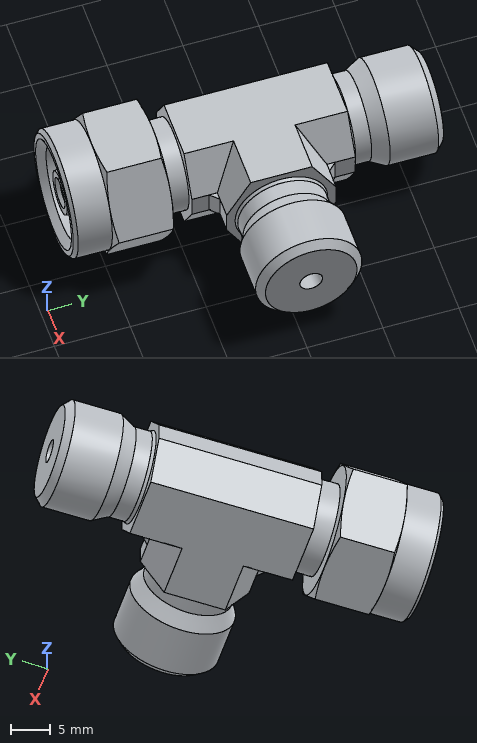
import cadquery as cq
import math


body_height = 14.05
body_width = 14.42
body_reach = 10.95
body_foot = 10.55
web_leg = 1.1
web_overlap = 0.5

arm_reach = 22.95
arm_diameter = 14.05
arm_tip_chamfer = 1.0
thread_length = 7.35
relief_taper_length = 2.07
neck_diameter = 11.8
neck_flare = 0.2
neck_flare_length = 0.45

overall_length = 49.4
spigot_diameter = 12.1
nut_across_flats = 17.0
nut_back_gap = 2.8
nut_hex_length = 8.05
nut_corner_drop = 0.45
collar_diameter = 16.9
collar_chamfer = 0.5
socket_diameter = 12.35
socket_mouth_diameter = 14.42

cone_recess = 0.85
cone_tip_diameter = 5.75
cone_base_diameter = 8.5
cone_half_angle = 12.0
ring_section_radius = 0.55
ring_centre_radius = 3.25
ring_setback = 2.45

bore_diameter = 2.95
bore_mouth_diameter = 4.0

nut_front_y = arm_reach - overall_length
nut_back_y = -body_foot - nut_back_gap
nut_hex_front_y = nut_back_y - nut_hex_length
cone_tip_y = nut_front_y + cone_recess
cone_length = (cone_base_diameter - cone_tip_diameter) / 2 / math.tan(math.radians(cone_half_angle))
socket_floor_y = cone_tip_y + cone_length


def turned(profile):
    """Revolve a closed (radius, y) outline about the Y axis."""
    return cq.Workplane("XY").polyline(profile).close().revolve(360, (0, 0, 0), (0, 1, 0))


def to_branch(shape):
    """Swing a shape from the +Y direction to the +X direction."""
    return shape.rotate((0, 0, 0), (0, 0, 1), -90)


def cylinder(diameter, start_y, end_y):
    radius = diameter / 2
    return turned([(0, start_y), (radius, start_y), (radius, end_y), (0, end_y)])


def hexagon_bar(across_flats, start_y, end_y):
    """Hexagonal bar along Y with flats at the top and bottom."""
    corner_diameter = across_flats / math.cos(math.radians(30))
    bar = cq.Workplane("XZ").polygon(6, corner_diameter).extrude(end_y - start_y)
    return bar.translate((0, end_y, 0))


def body_bar(start_y, end_y):
    """Hexagonal bar with its side corners cut back to flats."""
    trim = cq.Workplane("XY").box(body_width, 4 * body_reach, 2 * body_height)
    return hexagon_bar(body_height, start_y, end_y).intersect(trim)


def corner_webs():
    """Triangular webs, as tall as the side flats, in both corners beside the branch."""
    corner = body_width / 2
    corner_radius = body_height / 2 / math.cos(math.radians(30))
    flat_height = 2 * (corner_radius - corner) * math.tan(math.radians(60))
    inner = corner - web_overlap
    outer = corner + web_leg
    outline = [(inner, inner), (outer, inner), (outer, corner), (corner, outer), (inner, outer)]
    web = cq.Workplane("XY").polyline(outline).close().extrude(flat_height / 2, both=True)
    return web.union(web.mirror("XZ"))


def threaded_arm():
    radius = arm_diameter / 2
    neck = neck_diameter / 2
    thread_end = arm_reach - thread_length
    return turned([
        (0, 0),
        (neck + neck_flare, 0),
        (neck + neck_flare, body_reach),
        (neck, body_reach + neck_flare_length),
        (neck, thread_end - relief_taper_length),
        (radius, thread_end),
        (radius, arm_reach - arm_tip_chamfer),
        (radius - arm_tip_chamfer, arm_reach),
        (0, arm_reach),
    ])


def nut():
    collar = collar_diameter / 2
    corner = nut_across_flats / 2 / math.cos(math.radians(30))
    envelope = turned([
        (0, nut_back_y),
        (collar, nut_back_y),
        (corner, nut_back_y - nut_corner_drop),
        (corner, nut_hex_front_y + nut_corner_drop),
        (collar, nut_hex_front_y),
        (0, nut_hex_front_y),
    ])
    hexagon = hexagon_bar(nut_across_flats, nut_hex_front_y, nut_back_y).intersect(envelope)
    front_collar = turned([
        (0, nut_hex_front_y),
        (collar, nut_hex_front_y),
        (collar, nut_front_y + collar_chamfer),
        (collar - collar_chamfer, nut_front_y),
        (0, nut_front_y),
    ])
    socket = socket_diameter / 2
    mouth = socket_mouth_diameter / 2
    cavity = turned([
        (0, nut_front_y),
        (mouth, nut_front_y),
        (socket, nut_front_y + mouth - socket),
        (socket, socket_floor_y),
        (0, socket_floor_y),
    ])
    return hexagon.union(front_collar).cut(cavity)


def sealing_cone():
    cone = turned([
        (0, cone_tip_y),
        (cone_tip_diameter / 2, cone_tip_y),
        (cone_base_diameter / 2, socket_floor_y),
        (0, socket_floor_y),
    ])
    section = cq.Workplane("XY").center(ring_centre_radius, cone_tip_y + ring_setback)
    axis_start = (-ring_centre_radius, 0, 0)
    axis_end = (-ring_centre_radius, 1, 0)
    ring = section.circle(ring_section_radius).revolve(360, axis_start, axis_end)
    return cone.union(ring)


def bores():
    """Through bore of the run, flared at the cone tip, and the bore of the branch."""
    bore = bore_diameter / 2
    mouth = bore_mouth_diameter / 2
    run_bore = turned([
        (0, cone_tip_y),
        (mouth, cone_tip_y),
        (bore, cone_tip_y + mouth - bore),
        (bore, arm_reach),
        (0, arm_reach),
    ])
    return run_bore.union(to_branch(cylinder(bore_diameter, 0, arm_reach)))


body = body_bar(-body_foot, body_reach)
body = body.union(to_branch(body_bar(0, body_reach)))
body = body.union(corner_webs())

spigot = cylinder(spigot_diameter, socket_floor_y, 0)

result = body.union(threaded_arm()).union(to_branch(threaded_arm()))
result = result.union(spigot).union(nut()).union(sealing_cone())
result = result.cut(bores())